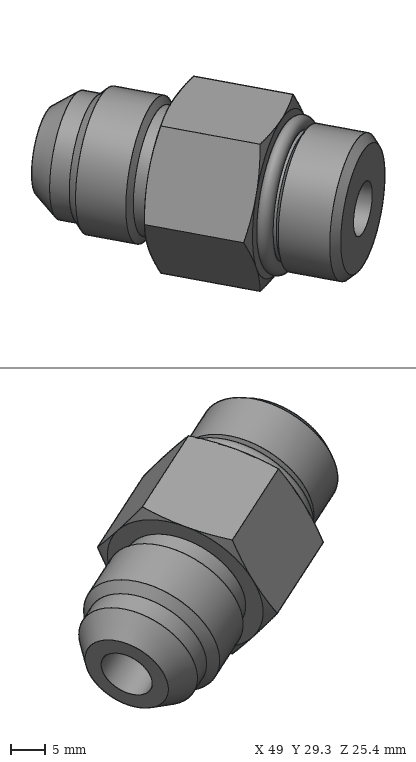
import cadquery as cq
import math

BORE_DIAMETER = 8.35
NOSE_TIP_DIAMETER = 13.6
NOSE_DIAMETER = 19.35
THREAD_DIAMETER = 22.2
NECK_DIAMETER = 19.7

NOSE_CONE_END = 3.8
NOSE_END = 6.85
FLARE_THREAD_START = 8.35
FLARE_THREAD_END = 16.15
FLARE_NECK_START = 16.85
HEX_START = 19.55
HEX_END = 36.3
PORT_NECK_END = 39.0
PORT_THREAD_START = 39.75
PORT_THREAD_END = 47.75
TOTAL_LENGTH = 49.0

HEX_ACROSS_FLATS = 25.4
HEX_ACROSS_CORNERS = HEX_ACROSS_FLATS / math.cos(math.radians(30))
HEX_CHAMFER_LENGTH = 0.7

RING_OUTER_DIAMETER = 24.0
RING_SECTION_DIAMETER = 2.4
RING_CENTER_X = 37.6
RING_CENTER_RADIUS = (RING_OUTER_DIAMETER - RING_SECTION_DIAMETER) / 2


def revolve_steps(steps):
    """Solid of revolution about X from (x, diameter) steps, closed along the axis."""
    outline = [(x, diameter / 2) for x, diameter in steps]
    first_x = steps[0][0]
    last_x = steps[-1][0]
    points = [(first_x, 0), *outline, (last_x, 0)]
    return cq.Workplane("XY").polyline(points).close().revolve(360, (0, 0), (1, 0))


def make_ring():
    """Torus about X; also the shape of the seat cut into the port neck."""
    return (
        cq.Workplane("XY")
        .center(RING_CENTER_X, RING_CENTER_RADIUS)
        .circle(RING_SECTION_DIAMETER / 2)
        .revolve(360, (0, -RING_CENTER_RADIUS), (1, -RING_CENTER_RADIUS))
    )


def make_flare_end():
    """Conical nose, threaded length and relief neck on the -X side of the hexagon."""
    return revolve_steps([
        (0, NOSE_TIP_DIAMETER),
        (NOSE_CONE_END, NOSE_DIAMETER),
        (NOSE_END, NOSE_DIAMETER),
        (FLARE_THREAD_START, THREAD_DIAMETER),
        (FLARE_THREAD_END, THREAD_DIAMETER),
        (FLARE_NECK_START, NECK_DIAMETER),
        (HEX_START, NECK_DIAMETER),
    ])


def make_hexagon():
    """Hexagon with flats facing +Z and -Z, its corners chamfered at both ends."""
    prism = (
        cq.Workplane("YZ", origin=(HEX_START, 0, 0))
        .polygon(6, HEX_ACROSS_CORNERS)
        .extrude(HEX_END - HEX_START)
    )
    chamfer_envelope = revolve_steps([
        (HEX_START, HEX_ACROSS_FLATS),
        (HEX_START + HEX_CHAMFER_LENGTH, HEX_ACROSS_CORNERS),
        (HEX_END - HEX_CHAMFER_LENGTH, HEX_ACROSS_CORNERS),
        (HEX_END, HEX_ACROSS_FLATS),
    ])
    return prism.intersect(chamfer_envelope)


def make_port_end():
    """O-ring neck and threaded length on the +X side of the hexagon."""
    return revolve_steps([
        (HEX_END, NECK_DIAMETER),
        (PORT_NECK_END, NECK_DIAMETER),
        (PORT_THREAD_START, THREAD_DIAMETER),
        (PORT_THREAD_END, THREAD_DIAMETER),
        (TOTAL_LENGTH, NECK_DIAMETER),
    ])


def make_fitting():
    """Fitting body with its through bore and the O-ring seat."""
    bore = cq.Workplane("YZ").circle(BORE_DIAMETER / 2).extrude(TOTAL_LENGTH)
    blank = make_flare_end().union(make_hexagon()).union(make_port_end())
    return blank.cut(bore).cut(make_ring())


fitting = make_fitting()
o_ring = make_ring()

result = cq.Compound.makeCompound([fitting.solids().val(), o_ring.solids().val()])